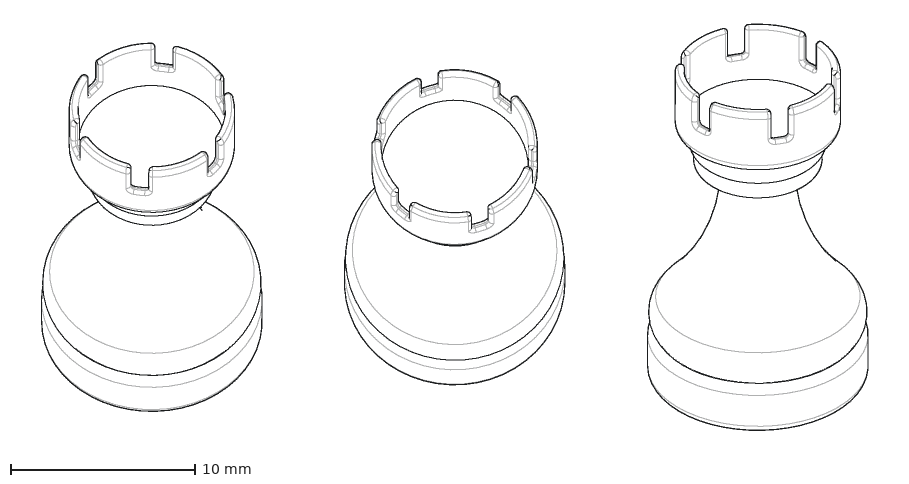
import cadquery as cq
import math

base_radius = 6.0
base_height = 3.0
base_round = 0.5

bulge_radius = 5.94
bulge_end_radius = 5.55
bulge_top = 5.0

neck_radius = 2.01
neck_top = 13.5

ring_centre_radius = 3.0
lower_ring_height = 1
upper_ring_height = 1.5

crown_radius = 4.5
cup_radius = 4.0
crown_round = 0.5
cup_floor_thickness = 0.5
total_height = 19.92

slot_count = 6
slot_width = 1
slot_depth = 1.91
slot_corner_radius = 0.2
merlon_round = 0.2

clearance = 0.2
seam_band = 0.02

lower_ring_top = neck_top + lower_ring_height
crown_bottom = lower_ring_top + upper_ring_height
cup_floor = crown_bottom + cup_floor_thickness
slot_floor = total_height - slot_depth

rim_round = crown_radius - cup_radius
rim_peak = merlon_round + math.sqrt((rim_round - merlon_round) ** 2 - merlon_round**2)
rim_start = total_height - rim_peak
sharp_crown_top = rim_start + rim_round


def neck_midpoint():
    """Point halfway up the neck, on the arc that is vertical at the neck top."""
    rise = neck_top - bulge_top
    spread = bulge_end_radius - neck_radius
    arc_radius = (rise**2 + spread**2) / (2 * spread)
    half_rise = rise / 2
    radius = neck_radius + arc_radius - math.sqrt(arc_radius**2 - half_rise**2)
    return radius, neck_top - half_rise


def make_body():
    """Base, bulge, neck and rings turned as one profile."""
    lower_ring_round = lower_ring_height / 2
    upper_ring_round = upper_ring_height / 2
    corner_inset = base_round * (1 - math.sqrt(0.5))
    profile = (
        cq.Workplane("XZ")
        .lineTo(base_radius - base_round, 0)
        .threePointArc((base_radius - corner_inset, corner_inset), (base_radius, base_round))
        .lineTo(base_radius, base_height - base_round)
        .threePointArc(
            (base_radius - corner_inset, base_height - corner_inset),
            (base_radius - base_round, base_height),
        )
        .lineTo(bulge_end_radius, base_height)
        .threePointArc((bulge_radius, (base_height + bulge_top) / 2), (bulge_end_radius, bulge_top))
        .threePointArc(neck_midpoint(), (neck_radius, neck_top))
        .lineTo(ring_centre_radius, neck_top)
        .threePointArc(
            (ring_centre_radius + lower_ring_round, neck_top + lower_ring_round),
            (ring_centre_radius, lower_ring_top),
        )
        .threePointArc(
            (ring_centre_radius + upper_ring_round, lower_ring_top + upper_ring_round),
            (ring_centre_radius, crown_bottom),
        )
        .lineTo(0, crown_bottom)
        .close()
    )
    return profile.revolve(360, (0, 0, 0), (0, 1, 0))


def make_slot(angle):
    """Cutter for one slot, reaching outward from the axis at the given angle."""
    slot_reach = crown_radius + clearance
    cutter_height = slot_depth + clearance
    return (
        cq.Workplane("XY")
        .workplane(offset=slot_floor)
        .center(slot_reach / 2, 0)
        .rect(slot_reach, slot_width)
        .extrude(cutter_height)
        .edges("|X and <Z")
        .fillet(slot_corner_radius)
        .rotate((0, 0, 0), (0, 0, 1), angle)
    )


def height_band(bottom, top):
    """Selector for the crown edges centred between two heights."""
    return cq.selectors.BoxSelector(
        (-crown_radius, -crown_radius, bottom),
        (crown_radius, crown_radius, top),
    )


def make_crown():
    """Slotted cup with a rounded lower edge, a rounded rim and rounded merlons."""
    crown = (
        cq.Workplane("XY")
        .workplane(offset=crown_bottom)
        .circle(crown_radius)
        .extrude(sharp_crown_top - crown_bottom)
        .faces("<Z")
        .edges()
        .fillet(crown_round)
        .faces(">Z")
        .edges()
        .fillet(rim_round)
    )
    cup = (
        cq.Workplane("XY")
        .workplane(offset=cup_floor)
        .circle(cup_radius)
        .extrude(sharp_crown_top - cup_floor)
    )
    crown = crown.cut(cup)
    for index in range(slot_count):
        crown = crown.cut(make_slot(index * 360 / slot_count))
    merlon_edges = height_band(slot_floor - clearance, sharp_crown_top + clearance)
    smooth_rim_edges = height_band(rim_start - seam_band, rim_start + seam_band)
    return crown.edges(merlon_edges - smooth_rim_edges).fillet(merlon_round)


result = make_body().union(make_crown())